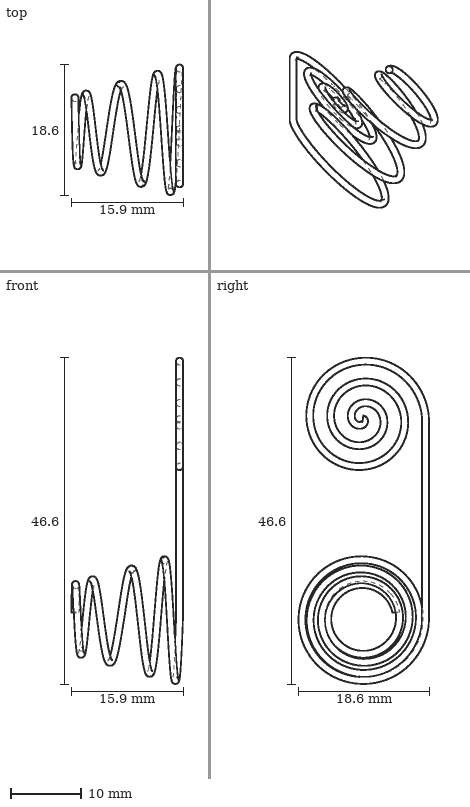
import cadquery as cq
import math

wire_radius = 0.5
outer_radius = 9.0
rod_length = 28.45

spiral_turns = 3
spiral_tip_radius = 0.05

coil_length = 14.9
coil_tip_radius = 4.85
stage_turns = 1.985
stage_1_length = 8.3
stage_1_start_pitch = 2.1
stage_2_length = coil_length - stage_1_length

POINTS_PER_TURN = 16


def spiral_point(progress):
    """Point on the spiral centreline, from the rod (0) to the centre (1)."""
    radius = outer_radius + (spiral_tip_radius - outer_radius) * progress
    angle = 2 * math.pi * spiral_turns * progress
    return (0, radius * math.cos(angle), rod_length + radius * math.sin(angle))


def coil_point(turns, advance):
    """Point on the conical coil after some turns and some advance along the axis."""
    radius = outer_radius + (coil_tip_radius - outer_radius) * advance / coil_length
    angle = 2 * math.pi * turns
    return (-advance, radius * math.cos(angle), -radius * math.sin(angle))


def stage_1_point(progress):
    """Opening stage: the pitch grows steadily from its starting value."""
    turns = stage_turns * progress
    steady = stage_1_start_pitch * turns
    growing = (stage_1_length - stage_1_start_pitch * stage_turns) * progress**2
    return coil_point(turns, steady + growing)


def stage_2_point(progress):
    """Closing stage: the pitch falls steadily to zero at the free end."""
    turns = stage_turns * (1 + progress)
    return coil_point(turns, coil_length - stage_2_length * (1 - progress) ** 2)


def bend(point_at, turns):
    """Smooth centreline through the points given at each progress from 0 to 1."""
    steps = math.ceil(turns * POINTS_PER_TURN)
    points = [cq.Vector(*point_at(step / steps)) for step in range(steps + 1)]
    return cq.Edge.makeSpline(points)


spiral = bend(spiral_point, spiral_turns)
rod = cq.Edge.makeLine(cq.Vector(*coil_point(0, 0)), cq.Vector(*spiral_point(0)))
coil_stage_1 = bend(stage_1_point, stage_turns)
coil_stage_2 = bend(stage_2_point, stage_turns)
centreline = cq.Wire.assembleEdges([rod, spiral, coil_stage_1, coil_stage_2])

coil_end = cq.Plane(origin=coil_stage_2.endPoint(), normal=coil_stage_2.tangentAt(1))
wire_section = cq.Workplane(coil_end).circle(wire_radius)

result = wire_section.sweep(cq.Workplane(obj=centreline), transition="transformed")